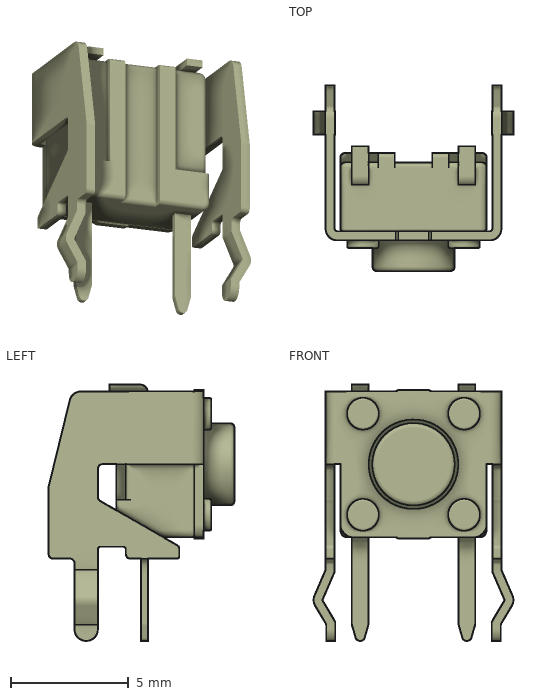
import math

import cadquery as cq


SHEET = 0.39
BRACKET_HALF_WIDTH = 3.74
PLATE_HALF = 3.1
PLATE_CORNER_RADIUS = 0.5
BEND_RADIUS = 0.5
BUTTON_HOLE_DIAMETER = 3.8
LUG_HEIGHT = 0.07
LUG_ROOT_HALF_WIDTH = 0.76
LUG_TOP_HALF_WIDTH = 0.65

WING_REAR_Y = 6.59
WING_TOP_REAR_Y = 5.6
WING_SLOPE_END_Z = -0.96
WING_BOTTOM_Z = -4.01
WING_TOP_RADIUS = 0.5
WINDOW_REAR_Y = 4.49
WINDOW_REAR_Z = -1.5
NOTCH_FRONT_Y = 3.31
NOTCH_TOP_Z = -3.51
ARM_FRONT_Y = 1.04
ARM_FRONT_Z = -3.49
LARGE_CORNER = 0.2
SMALL_CORNER = 0.1

LEG_WIDTH = 1.0
LEG_TIP_RADIUS = 0.499 * LEG_WIDTH
LEG_TIP_Z = -7.51
LEG_BEND_START_Z = -4.49
LEG_KNEE_X = 4.31
LEG_KNEE_Z = -5.8
LEG_FOOT_X = 3.71
LEG_FOOT_Z = -6.81
LEG_KNEE_RADIUS = 0.47

BODY_HALF = 3.11
BODY_CORNER_RADIUS = 0.3
BODY_FRONT_ROUND = 0.1
BODY_REAR_ROUND = 0.2
BODY_BASE_Y = 3.31
BODY_PAD_Y = 3.72
CHANNEL_HALF_WIDTH = 0.8
RIB_OUTER_X = 1.5
PAD_TOP_Z = -1.52

BUTTON_DIAMETER = 3.5
BUTTON_HEIGHT = 1.31
BUTTON_ROUND = 0.2
PIP_DIAMETER = 1.35
PIP_HEIGHT = 0.33
PIP_ROUND = 0.1
PIP_OFFSET = 2.15

TERMINAL_X = 2.27
TERMINAL_WIDTH = 0.72
TERMINAL_THICKNESS = 0.3
TERMINAL_FRONT_Y = 2.37
TERMINAL_REAR_Y = 4.01
TERMINAL_TOP_Z = 3.39
TERMINAL_INNER_RADIUS = 0.05
PIN_TAPER_Z = -6.8
PIN_TIP_ROUND_Z = -7.34
PIN_TIP_HALF_WIDTH = 0.21


def front_cylinder(diameter, start_y, end_y):
    """Cylinder along Y about the button axis, from start_y forward to end_y."""
    sketch = cq.Workplane("XZ", origin=(0, start_y, 0)).circle(diameter / 2)
    return sketch.extrude(start_y - end_y)


def box_between(x_range, y_range, z_range):
    """Box given by its lower and upper limits along each axis."""
    lows, highs = zip(x_range, y_range, z_range)
    sizes = [high - low for low, high in zip(lows, highs)]
    return cq.Workplane("XY").box(*sizes, centered=False).translate(lows)


def bend_strip(side):
    """Quarter-round sheet bend that joins the plate to one wing."""
    inner_radius = BEND_RADIUS - SHEET
    centre_x = BRACKET_HALF_WIDTH - BEND_RADIUS
    quarter = math.sqrt(0.5)
    return (
        cq.Workplane("XY")
        .moveTo(side * centre_x, 0)
        .threePointArc(
            (side * (centre_x + BEND_RADIUS * quarter), BEND_RADIUS * (1 - quarter)),
            (side * BRACKET_HALF_WIDTH, BEND_RADIUS),
        )
        .lineTo(side * (BRACKET_HALF_WIDTH - SHEET), BEND_RADIUS)
        .threePointArc(
            (side * (centre_x + inner_radius * quarter), BEND_RADIUS - inner_radius * quarter),
            (side * centre_x, SHEET),
        )
        .close()
        .extrude(PLATE_HALF)
    )


def front_plate():
    """Flat front sheet with its edge lugs and button hole."""
    plate = box_between((-PLATE_HALF, PLATE_HALF), (0, SHEET), (-PLATE_HALF, PLATE_HALF))
    plate = plate.edges("|Y and <Z").fillet(PLATE_CORNER_RADIUS)
    flat_end_x = BRACKET_HALF_WIDTH - BEND_RADIUS
    plate = plate.union(box_between((-flat_end_x, flat_end_x), (0, SHEET), (0, PLATE_HALF)))
    lug_z = PLATE_HALF + LUG_HEIGHT
    lugs = (
        cq.Workplane("XZ", origin=(0, SHEET, 0))
        .polyline([
            (-LUG_ROOT_HALF_WIDTH, PLATE_HALF),
            (-LUG_TOP_HALF_WIDTH, lug_z),
            (LUG_TOP_HALF_WIDTH, lug_z),
            (LUG_ROOT_HALF_WIDTH, PLATE_HALF),
            (LUG_ROOT_HALF_WIDTH, -PLATE_HALF),
            (LUG_TOP_HALF_WIDTH, -lug_z),
            (-LUG_TOP_HALF_WIDTH, -lug_z),
            (-LUG_ROOT_HALF_WIDTH, -PLATE_HALF),
        ])
        .close()
        .extrude(SHEET)
    )
    return plate.union(lugs).cut(front_cylinder(BUTTON_HOLE_DIAMETER, SHEET, 0))


def wing_outline():
    """Side outline of wing and leg, as a solid spanning both wings."""
    leg_rear_y = WINDOW_REAR_Y + LEG_WIDTH
    corners = [
        (BEND_RADIUS, PLATE_HALF, 0),
        (WING_TOP_REAR_Y, PLATE_HALF, WING_TOP_RADIUS),
        (WING_REAR_Y, WING_SLOPE_END_Z, 0),
        (WING_REAR_Y, WING_BOTTOM_Z, LARGE_CORNER),
        (leg_rear_y, WING_BOTTOM_Z, LARGE_CORNER),
        (leg_rear_y, LEG_TIP_Z, LEG_TIP_RADIUS),
        (WINDOW_REAR_Y, LEG_TIP_Z, LEG_TIP_RADIUS),
        (WINDOW_REAR_Y, NOTCH_TOP_Z, SMALL_CORNER),
        (NOTCH_FRONT_Y, NOTCH_TOP_Z, SMALL_CORNER),
        (NOTCH_FRONT_Y, WING_BOTTOM_Z, LARGE_CORNER),
        (ARM_FRONT_Y, WING_BOTTOM_Z, SMALL_CORNER),
        (ARM_FRONT_Y, ARM_FRONT_Z, LARGE_CORNER),
        (WINDOW_REAR_Y, WINDOW_REAR_Z, LARGE_CORNER),
        (WINDOW_REAR_Y, 0, LARGE_CORNER),
        (BEND_RADIUS, 0, 0),
    ]
    outline = (
        cq.Workplane("YZ")
        .polyline([(y, z) for y, z, radius in corners])
        .close()
        .extrude(LEG_KNEE_X, both=True)
    )
    reach = 0.01
    for y, z, radius in corners:
        if radius > 0:
            picker = cq.selectors.BoxSelector(
                (-reach, y - reach, z - reach), (reach, y + reach, z + reach)
            )
            outline = outline.edges("|X").edges(picker).fillet(radius)
    return outline


def inner_corner(outer_x, outer_z, angle_above, angle_below):
    """Mitred inner corner of the sheet at a bend between two slanted runs.

    Angles give how far each run leans from straight down towards +X.
    """
    middle = (angle_above + angle_below) / 2
    reach = SHEET / math.cos((angle_below - angle_above) / 2)
    return (outer_x - reach * math.cos(middle), outer_z - reach * math.sin(middle))


def wing_section():
    """Front section of the +X wing and its bent leg."""
    knee_out_angle = math.atan2(LEG_KNEE_X - BRACKET_HALF_WIDTH, LEG_BEND_START_Z - LEG_KNEE_Z)
    knee_in_angle = -math.atan2(LEG_KNEE_X - LEG_FOOT_X, LEG_KNEE_Z - LEG_FOOT_Z)
    shoulder = inner_corner(BRACKET_HALF_WIDTH, LEG_BEND_START_Z, 0, knee_out_angle)
    knee = inner_corner(LEG_KNEE_X, LEG_KNEE_Z, knee_out_angle, knee_in_angle)
    foot = inner_corner(LEG_FOOT_X, LEG_FOOT_Z, knee_in_angle, 0)
    section = (
        cq.Workplane("XZ", origin=(0, WING_REAR_Y, 0))
        .polyline([
            (BRACKET_HALF_WIDTH, PLATE_HALF),
            (BRACKET_HALF_WIDTH, LEG_BEND_START_Z),
            (LEG_KNEE_X, LEG_KNEE_Z),
            (LEG_FOOT_X, LEG_FOOT_Z),
            (LEG_FOOT_X, LEG_TIP_Z),
            (LEG_FOOT_X - SHEET, LEG_TIP_Z),
            foot,
            knee,
            shoulder,
            (BRACKET_HALF_WIDTH - SHEET, PLATE_HALF),
        ])
        .close()
        .extrude(WING_REAR_Y)
    )
    section = section.edges("|Y and >X").fillet(LEG_KNEE_RADIUS)
    knee_inner = cq.selectors.NearestToPointSelector((knee[0], WING_REAR_Y / 2, knee[1]))
    return section.edges("|Y").edges(knee_inner).fillet(LEG_KNEE_RADIUS - SHEET)


def bracket():
    """Plate, two bends and two wings with legs."""
    wing = wing_section().intersect(wing_outline())
    sheet = front_plate().union(wing).union(wing.mirror("YZ"))
    for side in (-1, 1):
        sheet = sheet.union(bend_strip(side))
    return sheet


def body_block(rear_y):
    """Rounded square block from the back of the plate to rear_y."""
    block = box_between((-BODY_HALF, BODY_HALF), (SHEET, rear_y), (-BODY_HALF, BODY_HALF))
    block = block.edges("|Y").fillet(BODY_CORNER_RADIUS)
    block = block.faces("<Y").edges().fillet(BODY_FRONT_ROUND)
    return block.faces(">Y").edges().fillet(BODY_REAR_ROUND)


def body():
    """Block with a rib and a lower pad raised on its rear face, on both sides."""
    depth = (SHEET, BODY_PAD_Y)
    raised = body_block(BODY_PAD_Y)
    rib = box_between((CHANNEL_HALF_WIDTH, RIB_OUTER_X), depth, (-BODY_HALF, BODY_HALF))
    pad = box_between((CHANNEL_HALF_WIDTH, BODY_HALF), depth, (-BODY_HALF, PAD_TOP_Z))
    half = rib.union(pad)
    raised = raised.intersect(half.union(half.mirror("YZ")))
    return body_block(BODY_BASE_Y).union(raised)


def button():
    """Round plunger with a rounded front rim."""
    plunger = front_cylinder(BUTTON_DIAMETER, SHEET, -BUTTON_HEIGHT)
    return plunger.faces("<Y").edges().fillet(BUTTON_ROUND)


def pip():
    """Small round stud with a rounded front rim."""
    stud = front_cylinder(PIP_DIAMETER, SHEET, -PIP_HEIGHT)
    return stud.faces("<Y").edges().fillet(PIP_ROUND)


def upper_terminal():
    """Lead that leaves the top of the body and folds back along it."""
    rear_y = TERMINAL_FRONT_Y + TERMINAL_THICKNESS
    under_z = TERMINAL_TOP_Z - TERMINAL_THICKNESS
    profile = (
        cq.Workplane("YZ")
        .polyline([
            (TERMINAL_FRONT_Y, 0),
            (TERMINAL_FRONT_Y, TERMINAL_TOP_Z),
            (TERMINAL_REAR_Y, TERMINAL_TOP_Z),
            (TERMINAL_REAR_Y, under_z),
            (rear_y, under_z),
            (rear_y, 0),
        ])
        .close()
        .extrude(TERMINAL_WIDTH / 2, both=True)
    )
    return profile.edges("|X and <Y and >Z").fillet(TERMINAL_INNER_RADIUS + TERMINAL_THICKNESS)


def lower_terminal():
    """Straight pin with a tapered, rounded tip."""
    half = TERMINAL_WIDTH / 2
    return (
        cq.Workplane("XZ", origin=(0, TERMINAL_FRONT_Y + TERMINAL_THICKNESS, 0))
        .moveTo(-half, 0)
        .lineTo(-half, PIN_TAPER_Z)
        .lineTo(-PIN_TIP_HALF_WIDTH, PIN_TIP_ROUND_Z)
        .threePointArc((0, LEG_TIP_Z), (PIN_TIP_HALF_WIDTH, PIN_TIP_ROUND_Z))
        .lineTo(half, PIN_TAPER_Z)
        .lineTo(half, 0)
        .close()
        .extrude(TERMINAL_THICKNESS)
    )


result = bracket().union(body()).union(button())
for x in (-PIP_OFFSET, PIP_OFFSET):
    for z in (-PIP_OFFSET, PIP_OFFSET):
        result = result.union(pip().translate((x, 0, z)))
for x in (-TERMINAL_X, TERMINAL_X):
    result = result.union(upper_terminal().translate((x, 0, 0)))
    result = result.union(lower_terminal().translate((x, 0, 0)))